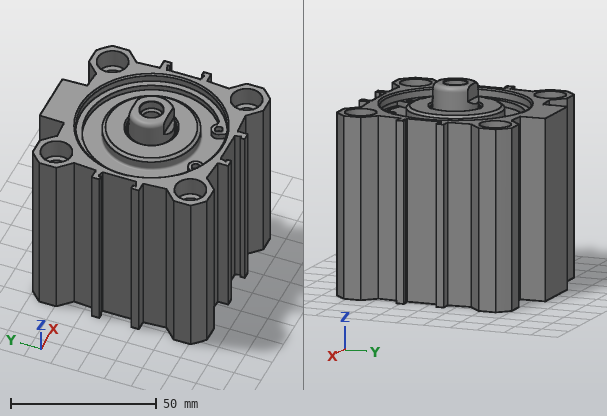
import cadquery as cq
import math

total_height = 72.0
body_height = 64.5
ring_recess = 3.0
ring_top = body_height - ring_recess
ring_thickness = 2.0
cover_top = ring_top - ring_thickness
cover_thickness = 10.0
cover_bottom = cover_top - cover_thickness
boss_recess = 0.65
boss_top = body_height - boss_recess

body_width = 65.0
total_depth = 70.0
half_body = body_width / 2
corner_inset = 4.3
lobe_inner = 21.9
neck_offset = 17.2
neck_depth = 27.9
wall_offset = 28.45

rail_outer = 8.8
rail_lip = 6.0
rail_neck = 6.9
rail_root = 6.3
rail_reach = 32.25
lip_back = 30.6

block_face = total_depth - half_body
block_base_half = 10.4
block_face_half = 10.1

hole_pitch = 50.0
hole_diameter = 6.8
counterbore_diameter = 11.0
counterbore_depth = 7.0

bore_diameter = 52.2
bore_chamfer = 0.6
groove_diameter = 55.2

ring_inner_radius = 23.9
ear_x = 10.3
ear_y = -20.8
ear_radius = 2.7
ear_shoulder = 1.6
ear_hole_diameter = 2.7
end_angle = 30.0

cover_diameter = 51.8
boss_diameter = 34.0
boss_fillet = 0.8
boss_chamfer_height = 0.9
boss_chamfer_width = 1.15
rod_hole_diameter = 16.55
wiper_diameter = 17.7
wiper_depth = 1.15
wiper_chamfer = 0.6

rod_diameter = 16.0
rod_fillet = 1.8
flats_width = 12.95
flat_length = 5.25
socket_diameter = 8.3
socket_mouth_diameter = 8.6
socket_depth = 3.2
pilot_diameter = 6.6
pilot_depth = 12.95
cone_angle = 118.0


def body_length_prism(points):
    """Extrude an (x, y) outline over the full height of the housing."""
    return cq.Workplane("XY").polyline(points).close().extrude(body_height)


def cylinder(diameter, bottom, top):
    return cq.Workplane("XY").workplane(offset=bottom).circle(diameter / 2).extrude(top - bottom)


def turned(profile):
    """Revolve a closed (radius, z) outline about the Z axis."""
    return cq.Workplane("XZ").polyline(profile).close().revolve(360, (0, 0, 0), (0, 1, 0))


def turn_point(point, angle):
    """Turn an (x, y) point about the Z axis."""
    cosine = math.cos(math.radians(angle))
    sine = math.sin(math.radians(angle))
    return (point[0] * cosine - point[1] * sine, point[0] * sine + point[1] * cosine)


def lobed_body():
    """Four corner lobes, their outer corners rounded about the rod axis, joined by crowned walls."""
    corner_start = half_body - corner_inset
    corner_radius = math.hypot(half_body, corner_start)
    corner_middle = (corner_radius * math.sqrt(0.5), corner_radius * math.sqrt(0.5))
    half_side = [
        (wall_offset, rail_outer),
        (neck_depth, neck_offset),
        (half_body, lobe_inner),
        (half_body, corner_start),
    ]
    side = [(x, -y) for x, y in reversed(half_side)] + half_side
    outline = cq.Workplane("XY").moveTo(*side[0])
    for angle in (0, 90, 180, 270):
        for point in side[1:]:
            outline = outline.lineTo(*turn_point(point, angle))
        next_start = turn_point(side[0], angle + 90)
        outline = outline.threePointArc(turn_point(corner_middle, angle), next_start)
    return outline.close().extrude(body_height)


def rail(side):
    """One hook of the +X side; side is +1 or -1 along Y."""
    outline = [
        (neck_depth, rail_outer),
        (rail_reach, rail_outer),
        (rail_reach, rail_lip),
        (lip_back, rail_lip),
        (lip_back, rail_neck),
        (wall_offset, rail_root),
        (neck_depth, rail_root),
    ]
    return body_length_prism([(x, side * y) for x, y in outline])


def port_block():
    """Slightly tapered block along the +Y wall."""
    outline = [
        (-block_base_half, neck_depth),
        (block_base_half, neck_depth),
        (block_face_half, block_face),
        (-block_face_half, block_face),
    ]
    return body_length_prism(outline)


def bore():
    """Blind bore for the cover, chamfered at the mouth, with the ring groove."""
    bore_radius = bore_diameter / 2
    mouth_radius = bore_radius + bore_chamfer
    groove_radius = groove_diameter / 2
    return turned([
        (0, cover_bottom),
        (bore_radius, cover_bottom),
        (bore_radius, cover_top),
        (groove_radius, cover_top),
        (groove_radius, ring_top),
        (bore_radius, ring_top),
        (bore_radius, body_height - bore_chamfer),
        (mouth_radius, body_height),
        (0, body_height),
    ])


def make_housing():
    housing = lobed_body().union(port_block())
    for angle in (0, 180, 270):
        for side in (-1, 1):
            housing = housing.union(rail(side).rotate((0, 0, 0), (0, 0, 1), angle))
    housing = housing.cut(bore())
    return (
        housing.faces(">Z").workplane(origin=(0, 0, body_height))
        .rect(hole_pitch, hole_pitch, forConstruction=True).vertices()
        .cboreHole(hole_diameter, counterbore_diameter, counterbore_depth)
    )


def make_ring():
    """Open ring with a holed ear at each end, the gap facing -Y."""
    outer_radius = groove_diameter / 2
    normal = (math.cos(math.radians(end_angle)), -math.sin(math.radians(end_angle)))
    along = (normal[1], -normal[0])
    tangent = (-ear_x + ear_radius * normal[0], ear_y + ear_radius * normal[1])
    projection = tangent[0] * along[0] + tangent[1] * along[1]
    run = -projection + math.sqrt(projection**2 + outer_radius**2 - math.hypot(*tangent) ** 2)
    tip = (tangent[0] + run * along[0], tangent[1] + run * along[1])
    ear_top = (-ear_x, ear_y + ear_radius)
    shoulder_y = ear_y + ear_shoulder
    ear_side = (-ear_x - math.sqrt(ear_radius**2 - ear_shoulder**2), shoulder_y)
    inner_end = (-math.sqrt(ring_inner_radius**2 - shoulder_y**2), shoulder_y)

    def opposite(point):
        return (-point[0], point[1])

    ring = (
        cq.Workplane("XY").workplane(offset=cover_top)
        .moveTo(*tip)
        .lineTo(*tangent)
        .threePointArc(ear_top, ear_side)
        .lineTo(*inner_end)
        .threePointArc((0, ring_inner_radius), opposite(inner_end))
        .lineTo(*opposite(ear_side))
        .threePointArc(opposite(ear_top), opposite(tangent))
        .lineTo(*opposite(tip))
        .threePointArc((0, outer_radius), tip)
        .close()
        .extrude(ring_thickness)
    )
    for x in (-ear_x, ear_x):
        ring = ring.cut(cylinder(ear_hole_diameter, cover_top, ring_top).translate((x, ear_y, 0)))
    return ring


def make_cover():
    """Flanged plug with a raised boss around the rod hole."""
    boss_radius = boss_diameter / 2
    hole_radius = rod_hole_diameter / 2
    wiper_radius = wiper_diameter / 2
    fillet_middle = boss_fillet * (1 - math.sqrt(0.5))
    return (
        cq.Workplane("XZ")
        .moveTo(hole_radius, cover_bottom)
        .lineTo(cover_diameter / 2, cover_bottom)
        .lineTo(cover_diameter / 2, cover_top)
        .lineTo(boss_radius + boss_fillet, cover_top)
        .threePointArc(
            (boss_radius + fillet_middle, cover_top + fillet_middle),
            (boss_radius, cover_top + boss_fillet),
        )
        .lineTo(boss_radius, boss_top - boss_chamfer_height)
        .lineTo(boss_radius - boss_chamfer_width, boss_top)
        .lineTo(wiper_radius + wiper_chamfer, boss_top)
        .lineTo(wiper_radius, boss_top - wiper_chamfer)
        .lineTo(wiper_radius, boss_top - wiper_depth)
        .lineTo(hole_radius, boss_top - wiper_depth)
        .close()
        .revolve(360, (0, 0, 0), (0, 1, 0))
    )


def flat_cut(side):
    """Material beyond one wrench flat, ending in a 45 degree run-out; side is +1 or -1 along Y."""
    flat_offset = flats_width / 2
    beyond = rod_diameter
    flat_end = total_height - flat_length
    outline = [
        (side * flat_offset, total_height),
        (side * flat_offset, flat_end),
        (side * beyond, flat_end - (beyond - flat_offset)),
        (side * beyond, total_height),
    ]
    return cq.Workplane("YZ").polyline(outline).close().extrude(rod_diameter / 2, both=True)


def rod_socket():
    """Stepped blind hole in the rod tip with conical shoulders."""
    socket_radius = socket_diameter / 2
    mouth_radius = socket_mouth_diameter / 2
    pilot_radius = pilot_diameter / 2
    shoulder_z = total_height - socket_depth
    pilot_z = total_height - pilot_depth
    point_height = pilot_radius / math.tan(math.radians(cone_angle / 2))
    return turned([
        (0, total_height),
        (mouth_radius, total_height),
        (socket_radius, total_height - (mouth_radius - socket_radius)),
        (socket_radius, shoulder_z),
        (pilot_radius, shoulder_z - (socket_radius - pilot_radius)),
        (pilot_radius, pilot_z),
        (0, pilot_z - point_height),
    ])


def make_rod():
    rod = cylinder(rod_diameter, cover_bottom, total_height).faces(">Z").edges().fillet(rod_fillet)
    for side in (-1, 1):
        rod = rod.cut(flat_cut(side))
    return rod.cut(rod_socket())


housing = make_housing()
ring = make_ring()
cover = make_cover()
rod = make_rod()

result = cq.Compound.makeCompound([housing.val(), ring.val(), cover.val(), rod.val()])